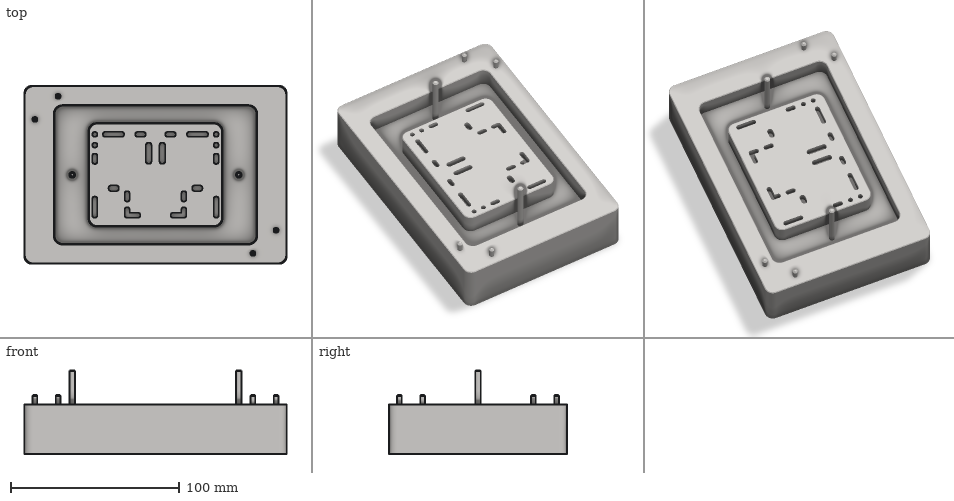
import cadquery as cq

corner_radius = 5.0
edge_chamfer = 0.5

base_length = 156.0
base_width = 106.0
base_height = 30.0

pocket_length = 120.0
pocket_width = 82.0
pocket_depth = 12.0

island_length = 79.7
island_width = 61.6

narrow_width = 3.0
wide_width = 3.5
recess_depth = 5.0
short_slot = 6.2
long_slot = 12.6
corner_slot = 9.4
edge_column_x = 36.0
top_row_y = 24.0
second_hole_y = 17.6
edge_short_slot_y = 9.5
edge_long_slot_y = -19.2
row_long_slot_x = 25.0
row_short_slot_x = 8.9
center_slot_x = 4.0
center_slot_y = 12.8
oval_x = 24.8
oval_y = -8.0
oval_length = 6.2
inner_column_x = 16.8
inner_slot_y = -12.8
corner_slot_y = -top_row_y
upright = 90

short_pin_diameter = 3.0
short_pin_height = 5.6
short_pin_chamfer = 1.0
short_pin_spots = [(-57.9, 46.6), (-71.6, 32.9)]

total_height = 50.0
long_pin_diameter = 3.5
long_pin_chamfer = 0.8
long_pin_x = 49.5

pocket_floor_z = base_height - pocket_depth


def rounded_block(length, width, height):
    """Block standing on Z = 0 with rounded vertical edges."""
    block = cq.Workplane("XY").box(length, width, height, centered=(True, True, False))
    return block.edges("|Z").fillet(corner_radius)


def make_recess(x, y, width, length, angle=0):
    """Cutter for a round-ended slot, or a round hole when length equals width."""
    sketch = cq.Workplane("XY", origin=(0, 0, base_height - recess_depth)).center(x, y)
    if length == width:
        outline = sketch.circle(width / 2)
    else:
        outline = sketch.slot2D(length, width, angle)
    return outline.extrude(recess_depth)


def make_half_recesses(side):
    """Recess cutters for one half of the island; side is -1 (left) or 1 (right)."""
    edge_x = side * edge_column_x
    inner_x = side * inner_column_x
    leg_x = inner_x - side * (corner_slot - narrow_width) / 2
    leg_y = corner_slot_y + (short_slot - narrow_width) / 2
    return [
        make_recess(edge_x, top_row_y, narrow_width, narrow_width),
        make_recess(edge_x, second_hole_y, narrow_width, narrow_width),
        make_recess(edge_x, edge_short_slot_y, narrow_width, short_slot, upright),
        make_recess(edge_x, edge_long_slot_y, narrow_width, long_slot, upright),
        make_recess(side * row_long_slot_x, top_row_y, narrow_width, long_slot),
        make_recess(side * row_short_slot_x, top_row_y, narrow_width, short_slot),
        make_recess(side * center_slot_x, center_slot_y, wide_width, long_slot, upright),
        make_recess(side * oval_x, oval_y, wide_width, oval_length),
        make_recess(inner_x, inner_slot_y, narrow_width, short_slot, upright),
        make_recess(inner_x, leg_y, narrow_width, short_slot, upright),
        make_recess(leg_x, corner_slot_y, narrow_width, corner_slot),
    ]


def make_base():
    """Block with a pocket, an island in the pocket and recesses in the island."""
    block = rounded_block(base_length, base_width, base_height)
    pocket = rounded_block(pocket_length, pocket_width, pocket_depth)
    island = rounded_block(island_length, island_width, pocket_depth)
    moat = pocket.cut(island).translate((0, 0, pocket_floor_z))
    base = block.cut(moat)
    base = base.faces(">Z or <Z").edges().chamfer(edge_chamfer)
    for side in (-1, 1):
        for recess in make_half_recesses(side):
            base = base.cut(recess)
    return base


def make_pin(x, y, foot_z, height, diameter, chamfer):
    """Upright pin with a chamfered tip."""
    pin = cq.Workplane("XY", origin=(x, y, foot_z)).circle(diameter / 2).extrude(height)
    return pin.faces(">Z").chamfer(chamfer)


def make_short_pin(x, y):
    """Locating pin standing on the rim."""
    return make_pin(x, y, base_height, short_pin_height, short_pin_diameter, short_pin_chamfer)


def make_long_pin(x):
    """Guide pin standing on the pocket floor and reaching the full height."""
    height = total_height - pocket_floor_z
    return make_pin(x, 0, pocket_floor_z, height, long_pin_diameter, long_pin_chamfer)


base = make_base()

short_pins = []
for x, y in short_pin_spots:
    for turn in (1, -1):
        short_pins.append(make_short_pin(turn * x, turn * y).val())

long_pins = []
for side in (-1, 1):
    long_pins.append(make_long_pin(side * long_pin_x).val())

result = cq.Compound.makeCompound([base.val(), *short_pins, *long_pins])